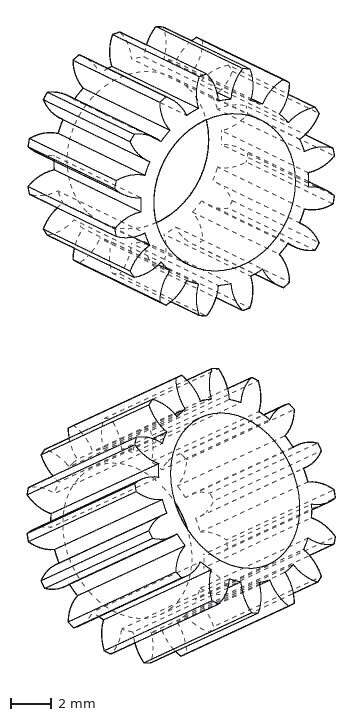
import cadquery as cq
import math

face_width = 8.84
outer_size = 12.42
tooth_count = 16
root_radius = 4.75
bore_radius = 4.0

root_half_thickness = 0.57
flank_radius = 5.54
flank_half_thickness = 0.53
tip_half_thickness = 0.21

tooth_pitch = 360 / tooth_count
half_pitch = math.radians(tooth_pitch / 2)
tip_height = (outer_size / 2 - tip_half_thickness * math.sin(half_pitch)) / math.cos(half_pitch)
tip_radius = math.hypot(tip_height, tip_half_thickness)
root_overlap = 0.25


def height_on_circle(radius, half_thickness):
    """Height at which a circle about the axis has the given half-thickness."""
    return math.sqrt(radius**2 - half_thickness**2)


def make_rim():
    return cq.Workplane("YZ").circle(root_radius).extrude(face_width)


def make_tooth():
    """One tooth along +Z, with curved flanks and a tip on the outer circle."""
    root_height = height_on_circle(root_radius, root_half_thickness)
    flank_height = height_on_circle(flank_radius, flank_half_thickness)
    return (
        cq.Workplane("YZ")
        .moveTo(-root_half_thickness, root_height - root_overlap)
        .lineTo(-root_half_thickness, root_height)
        .threePointArc((-flank_half_thickness, flank_height), (-tip_half_thickness, tip_height))
        .threePointArc((0, tip_radius), (tip_half_thickness, tip_height))
        .threePointArc((flank_half_thickness, flank_height), (root_half_thickness, root_height))
        .lineTo(root_half_thickness, root_height - root_overlap)
        .close()
        .extrude(face_width)
    )


gear = make_rim()
tooth = make_tooth()
for index in range(tooth_count):
    angle = (index + 0.5) * tooth_pitch
    gear = gear.union(tooth.rotate((0, 0, 0), (1, 0, 0), angle))

bore = cq.Workplane("YZ").circle(bore_radius).extrude(face_width)
result = gear.cut(bore)